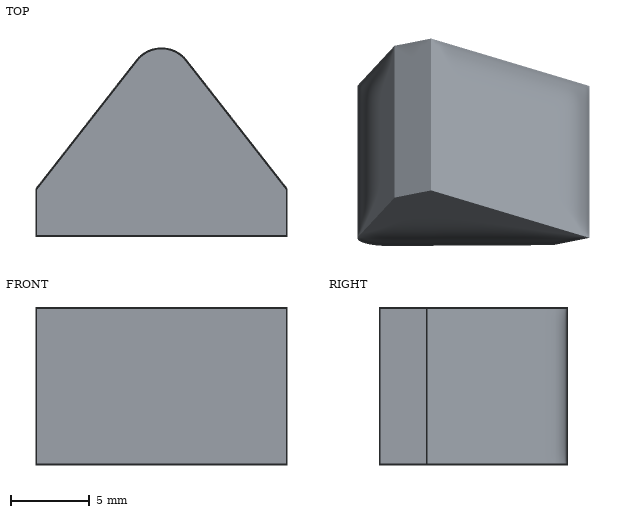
import cadquery as cq
import math

width = 16.0
depth = 12.0
height = 10.0
side_depth = 3.0
nose_radius = 2.0

half_width = width / 2
nose_center_y = depth - nose_radius

corner_rise = side_depth - nose_center_y
corner_distance = math.hypot(half_width, corner_rise)
corner_angle = math.atan2(corner_rise, half_width)
tangent_angle = corner_angle + math.acos(nose_radius / corner_distance)
tangent_x = nose_radius * math.cos(tangent_angle)
tangent_y = nose_center_y + nose_radius * math.sin(tangent_angle)

result = (
    cq.Workplane("XY")
    .moveTo(-half_width, 0)
    .lineTo(half_width, 0)
    .lineTo(half_width, side_depth)
    .lineTo(tangent_x, tangent_y)
    .threePointArc((0, depth), (-tangent_x, tangent_y))
    .lineTo(-half_width, side_depth)
    .close()
    .extrude(height)
)